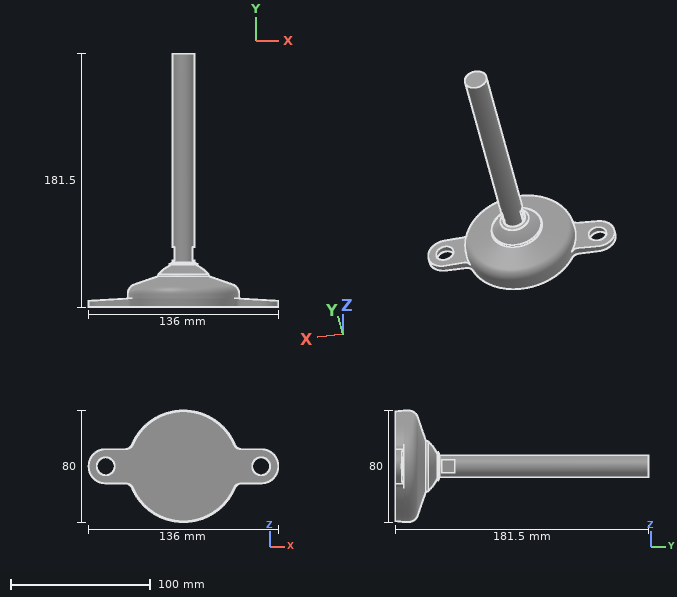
import cadquery as cq
import math


disc_radius = 40.02
sole_radius = 39.4
rim_height = 6.2
wall_top = 9.5
shoulder_radius = 7.3
top_slope = math.radians(19.0)
slope_normal = math.pi / 2 - top_slope
slope_start_radius = disc_radius - shoulder_radius * (1 - math.cos(slope_normal))
slope_start_height = wall_top + shoulder_radius * math.sin(slope_normal)

seat_radius = 18.5
seat_height = slope_start_height + (slope_start_radius - seat_radius) * math.tan(top_slope)

overall_width = 136.0
lug_radius = 12.3
lug_hole_diameter = 12.7
lug_tip_height = 4.5
lug_root_fillet = 5.0
lug_center = overall_width / 2 - lug_radius

overall_length = 181.5
rod_radius = 8.0
rod_bottom = 32.0
lip_radius = 10.3
lip_height = 30.9
lip_top_radius = 7.6
neck_radius = 9.3
neck_height = 30.1
dome_mid_radius = 14.3
dome_mid_height = 27.0
dome_radius = 18.0
dome_height = 23.6

flat_bottom = 33.4
flat_top = 42.8
across_flats = 13.0


def revolve_about_y(profile):
    """Close a radius/height profile and turn it about the Y axis."""
    return profile.close().revolve(360, (0, 0, 0), (0, 1, 0))


def extrude_up(sketch, height):
    """Extrude an XZ sketch from the sole towards +Y."""
    return sketch.extrude(-height)


def lug_top_cutter(side):
    """Wedge above the lug on one side (-1 or 1), sloping down from the disc to the lug tip."""
    tip = overall_width / 2
    return (
        cq.Workplane("XY")
        .moveTo(side * disc_radius, rim_height)
        .lineTo(side * tip, rim_height)
        .lineTo(side * tip, lug_tip_height)
        .close()
        .extrude(lug_radius + lug_root_fillet, both=True)
    )


def make_sole_plate():
    """Tapered rim with two rounded lugs, filleted where the lugs meet the rim."""
    rim = revolve_about_y(
        cq.Workplane("XY")
        .lineTo(sole_radius, 0)
        .lineTo(disc_radius, rim_height)
        .lineTo(0, rim_height)
    )
    lugs = extrude_up(
        cq.Workplane("XZ").slot2D(overall_width, 2 * lug_radius), rim_height
    )
    plate = rim.union(lugs)

    corner_x = math.sqrt(disc_radius**2 - lug_radius**2)
    margin = 1.5
    for side_x in (-1, 1):
        for side_z in (-1, 1):
            x = side_x * corner_x
            z = side_z * lug_radius
            corner = cq.selectors.BoxSelector(
                (x - margin, 0, z - margin), (x + margin, rim_height, z + margin)
            )
            plate = plate.edges(corner).fillet(lug_root_fillet)

    for side in (-1, 1):
        plate = plate.cut(lug_top_cutter(side))
    holes = extrude_up(
        cq.Workplane("XZ")
        .pushPoints([(-lug_center, 0), (lug_center, 0)])
        .circle(lug_hole_diameter / 2),
        rim_height,
    )
    return plate.cut(holes)


def shoulder_point(angle):
    """Radius and height of the foot's shoulder arc at an angle above horizontal."""
    return (
        disc_radius - shoulder_radius + shoulder_radius * math.cos(angle),
        wall_top + shoulder_radius * math.sin(angle),
    )


def make_foot():
    """Sole plate topped by a straight wall, a rounded shoulder, a slope and a flat seat."""
    cap = revolve_about_y(
        cq.Workplane("XY")
        .moveTo(0, rim_height)
        .lineTo(disc_radius, rim_height)
        .lineTo(disc_radius, wall_top)
        .threePointArc(shoulder_point(slope_normal / 2), shoulder_point(slope_normal))
        .lineTo(seat_radius, seat_height)
        .lineTo(0, seat_height)
    )
    return make_sole_plate().union(cap)


def make_stud():
    """Round rod with two wrench flats, a flared lip and a dome resting on the seat."""
    stud = revolve_about_y(
        cq.Workplane("XY")
        .moveTo(0, seat_height)
        .lineTo(seat_radius, seat_height)
        .lineTo(dome_radius, dome_height)
        .threePointArc((dome_mid_radius, dome_mid_height), (neck_radius, neck_height))
        .lineTo(lip_radius, lip_height)
        .lineTo(lip_top_radius, rod_bottom)
        .lineTo(rod_radius, rod_bottom)
        .lineTo(rod_radius, overall_length)
        .lineTo(0, overall_length)
    )
    flat_depth = rod_radius - across_flats / 2
    flat_middle = (flat_bottom + flat_top) / 2
    for side in (-1, 1):
        cutter = cq.Workplane("XY").box(
            flat_depth, flat_top - flat_bottom, 2 * rod_radius
        )
        cut_x = side * (across_flats + flat_depth) / 2
        stud = stud.cut(cutter.translate((cut_x, flat_middle, 0)))
    return stud


foot = make_foot()
stud = make_stud()

result = cq.Compound.makeCompound([foot.val(), stud.val()])